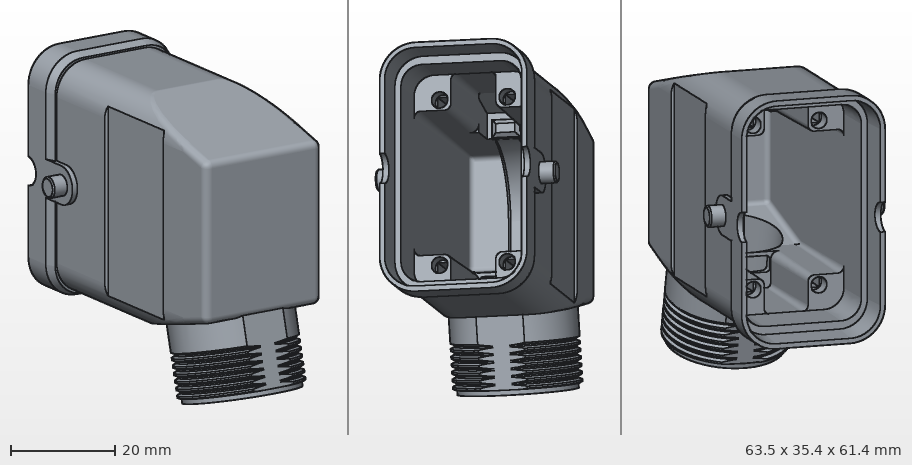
import cadquery as cq
import math


collar_width = 29.05
collar_height = 48.6
collar_radius = 7.1
collar_straight = 6.1
collar_end = 8.1
collar_inset = 0.8
notch_radius = 2.9
notch_center_x = -0.25

body_width = 26.8
body_height = 46.2
body_radius = 6.55
body_end = 59.5
slope_start = 33.25
tilt = 15
edge_radius = 1.5

pin_x = 11.4
pin_radius = 2.1
pin_span = 35.4
pin_chamfer = 0.3
lug_radius = 3.9

panel_start = 24.75
panel_end = 45.0
panel_depth = 0.45

overall_length = 63.45
overall_height = 61.4
thread_radius = 12.45
root_radius = 11.7
flat_distance = 11.55
bore_radius = 9.15
outlet_length = 25.4
lip_length = 1.0
groove_count = 7
groove_pitch = 1.45
first_groove = 0.1
groove_mouth = 1.1
groove_root = 0.3

draft = 1.1
mouth_width = 27.1
mouth_height = 46.6
mouth_radius = 6.0
mouth_depth = 6.35
mouth_draft = 4.5
shell_width = 23.75
shell_height = 42.4
shell_radius = 4.1
shoulder_x = 16.2
shell_narrowing = (shoulder_x - mouth_depth) * math.tan(math.radians(draft))
deep_width = shell_width - 2 * shell_narrowing
deep_height = 28.2
deep_floor_x = 58.05
deep_corner_radius = 1.3
floor_fillet = 1.1
slot_width = 8.9
lower_slot_end = 37.1
window_width = 7.75
window_top = -14.5
window_bottom = -17.7
window_end = 41.9
window_radius = 0.75
upper_slot_end = 43.15
upper_slot_slope_start = 33.45
seat_height = 22.65

screw_y = 6.65
screw_z = 16.1
screw_radius = 1.6
screw_depth = 3.2
square_side = 2.2
square_depth = 10.15

tongue_width = 5.7
tongue_tip_x = 41.8
tongue_top = 17.2
tongue_tip_bottom = 13.5
tongue_face_x = 55.5
tongue_bottom = -12.7
tongue_chamfer = 0.6
tip_chamfer = 0.95

oversize = 126.9
overcut = 1.9
overlap = 0.65

tilt_rad = math.radians(tilt)
outlet_end_x = overall_length - root_radius * math.cos(tilt_rad)
outlet_end_z = collar_height / 2 - overall_height + root_radius * math.sin(tilt_rad)
outlet_plane = cq.Plane(
    origin=(outlet_end_x, 0, outlet_end_z),
    xDir=(math.cos(tilt_rad), 0, math.sin(tilt_rad)),
    normal=(-math.sin(tilt_rad), 0, math.cos(tilt_rad)),
)


def rounded_block(start, end, width, height, radius, taper=0, center_z=0):
    """Rounded rectangle in YZ, extruded along X and narrowing by the taper angle."""
    section = cq.Sketch().rect(width, height).vertices().fillet(radius)
    plane = cq.Workplane("YZ", origin=(start, 0, center_z))
    return plane.placeSketch(section).extrude(end - start, taper=taper)


def slope_wedge(start, half_height):
    """Material above the plane that falls at the tilt angle from the given start."""
    return (
        cq.Workplane("XZ")
        .moveTo(start, half_height)
        .lineTo(start + oversize, half_height - oversize * math.tan(tilt_rad))
        .lineTo(start + oversize, half_height)
        .close()
        .extrude(collar_width, both=True)
    )


def make_body():
    """Rounded box with both ends of its height sloping towards the closed end."""
    body = rounded_block(collar_straight, body_end, body_width, body_height, body_radius)
    wedge = slope_wedge(slope_start, body_height / 2)
    body = body.cut(wedge).cut(wedge.mirror("XY"))
    upper_normal = cq.Vector(math.sin(tilt_rad), 0, math.cos(tilt_rad))
    lower_normal = cq.Vector(math.sin(tilt_rad), 0, -math.cos(tilt_rad))
    sloped = body.faces(cq.selectors.ParallelDirSelector(upper_normal))
    sloped = sloped.add(body.faces(cq.selectors.ParallelDirSelector(lower_normal)))
    return sloped.add(body.faces(">X")).edges().fillet(edge_radius)


def make_collar():
    """Straight band followed by a short taper down to the body."""
    straight = rounded_block(0, collar_straight, collar_width, collar_height, collar_radius)
    taper = math.degrees(math.atan(collar_inset / (collar_end - collar_straight)))
    return straight.union(
        rounded_block(collar_straight, collar_end, collar_width, collar_height, collar_radius, taper)
    )


def make_lugs_and_pins():
    """Lug and pin on each flank, made as bars through the full width."""
    lug = (
        cq.Workplane("XZ")
        .moveTo(collar_straight, lug_radius)
        .lineTo(pin_x, lug_radius)
        .threePointArc((pin_x + lug_radius, 0), (pin_x, -lug_radius))
        .lineTo(collar_straight, -lug_radius)
        .close()
        .extrude(collar_width / 2, both=True)
    )
    pin = (
        cq.Workplane("XZ")
        .center(pin_x, 0)
        .circle(pin_radius)
        .extrude(pin_span / 2, both=True)
        .faces("<Y or >Y")
        .chamfer(pin_chamfer)
    )
    return lug.union(pin)


def make_label_recesses():
    """Shallow bevelled strips taken off both flanks over the full height."""
    surface = body_width / 2
    recess = (
        cq.Workplane("XY")
        .moveTo(panel_start, surface)
        .lineTo(panel_start + panel_depth, surface - panel_depth)
        .lineTo(panel_end - panel_depth, surface - panel_depth)
        .lineTo(panel_end, surface)
        .close()
        .extrude(body_height / 2, both=True)
    )
    return recess.union(recess.mirror("XZ"))


def make_outlet():
    """Flatted barrel with ring grooves, standing on a plain lip."""
    barrel = cq.Workplane(outlet_plane).workplane(offset=lip_length).circle(thread_radius)
    barrel = barrel.extrude(outlet_length - lip_length)
    flats = cq.Workplane(outlet_plane).rect(2 * flat_distance, oversize).extrude(outlet_length)
    barrel = barrel.intersect(flats)
    profile_plane = cq.Plane(
        origin=outlet_plane.origin.toTuple(), xDir=outlet_plane.xDir.toTuple(), normal=(0, -1, 0)
    )
    side = (groove_mouth - groove_root) / 2
    for index in range(groove_count):
        low = first_groove + index * groove_pitch
        groove = (
            cq.Workplane(profile_plane)
            .moveTo(thread_radius, low)
            .lineTo(root_radius, low + side)
            .lineTo(root_radius, low + side + groove_root)
            .lineTo(thread_radius, low + groove_mouth)
            .close()
            .revolve(360, (0, 0, 0), (0, 1, 0))
        )
        barrel = barrel.cut(groove)
    lip = cq.Workplane(outlet_plane).circle(root_radius).extrude(lip_length)
    return barrel.union(lip)


def make_deep_pocket():
    """Rear pocket whose lower side is square to the outlet axis."""
    tall_height = shell_height
    center_z = (deep_height - tall_height) / 2
    pocket = rounded_block(
        shoulder_x, deep_floor_x, deep_width, tall_height, deep_corner_radius, draft, center_z
    )
    below_seat = cq.Workplane(outlet_plane).rect(oversize, oversize).extrude(seat_height)
    pocket = pocket.cut(below_seat)
    seat = pocket.faces(cq.selectors.ParallelDirSelector(outlet_plane.zDir))
    pocket = seat.add(pocket.faces(">X")).edges("not <X").fillet(floor_fillet)
    level_limit = rounded_block(
        shoulder_x, deep_floor_x, deep_width, deep_height, deep_corner_radius, draft
    )
    return pocket.intersect(level_limit)


def make_cavity():
    """Mouth, shell and rear pocket in steps, with slots between the screw shoulders."""
    mouth = rounded_block(0, mouth_depth, mouth_width, mouth_height, mouth_radius, mouth_draft)
    shell = rounded_block(mouth_depth, shoulder_x, shell_width, shell_height, shell_radius, draft)
    cross_section = (
        cq.Sketch()
        .rect(deep_width, deep_height)
        .rect(slot_width, shell_height)
        .clean()
        .vertices()
        .fillet(deep_corner_radius)
    )
    cross = (
        cq.Workplane("YZ", origin=(shoulder_x, 0, 0))
        .placeSketch(cross_section)
        .extrude(lower_slot_end - shoulder_x, taper=draft)
    )
    upper_half = cq.Workplane("XY").rect(oversize, oversize).extrude(collar_height)
    upper_slot = (
        rounded_block(shoulder_x, upper_slot_end, slot_width, shell_height, deep_corner_radius, draft)
        .intersect(upper_half)
    )
    slots = cross.union(upper_slot).cut(slope_wedge(upper_slot_slope_start, shell_height / 2))
    window = (
        cq.Workplane("YZ", origin=(shoulder_x, 0, (window_top + window_bottom) / 2))
        .rect(window_width, window_top - window_bottom)
        .extrude(window_end - shoulder_x)
        .edges("|X")
        .fillet(window_radius)
    )
    return mouth.union(shell).union(slots).union(window).union(make_deep_pocket())


def make_screw_holes():
    """Round hole with a deeper square core in each shoulder."""
    spots = [(y, z) for y in (-screw_y, screw_y) for z in (-screw_z, screw_z)]
    face = cq.Workplane("YZ", origin=(shoulder_x, 0, 0)).pushPoints(spots)
    round_part = face.circle(screw_radius).extrude(screw_depth)
    square_part = face.rect(square_side, square_side).extrude(square_depth)
    return round_part.union(square_part)


def make_tongue():
    """Rib on the rear wall, swept up by an arc to a bevelled tip that points at the mouth."""
    arc_radius = tongue_face_x - tongue_tip_x
    arc_mid = arc_radius * math.sqrt(0.5)
    arc_end_z = tongue_tip_bottom - arc_radius
    back_x = deep_floor_x + overlap
    rib = (
        cq.Workplane("XZ")
        .moveTo(tongue_tip_x, tongue_tip_bottom)
        .threePointArc(
            (tongue_tip_x + arc_mid, arc_end_z + arc_mid),
            (tongue_face_x, arc_end_z),
        )
        .lineTo(tongue_face_x, tongue_bottom)
        .lineTo(back_x, tongue_bottom)
        .lineTo(back_x, tongue_tip_bottom)
        .close()
        .extrude(tongue_width / 2, both=True)
    )
    rib = rib.edges("%CIRCLE").chamfer(tongue_chamfer)
    tip_height = tongue_top - tongue_tip_bottom
    tip = (
        cq.Workplane("YZ", origin=(tongue_tip_x, 0, tongue_tip_bottom + tip_height / 2))
        .rect(tongue_width, tip_height)
        .extrude(upper_slot_end + overlap - tongue_tip_x)
        .faces("<X")
        .chamfer(tip_chamfer)
    )
    return rib.union(tip)


bore = cq.Workplane(outlet_plane).circle(bore_radius).extrude(seat_height + overcut)
notches = cq.Workplane("XZ").center(notch_center_x, 0).circle(notch_radius).extrude(pin_span, both=True)

result = (
    make_body()
    .cut(make_label_recesses())
    .union(make_collar())
    .union(make_lugs_and_pins())
    .union(make_outlet())
    .cut(make_cavity())
    .cut(make_screw_holes())
    .union(make_tongue())
    .cut(bore)
    .cut(notches)
)